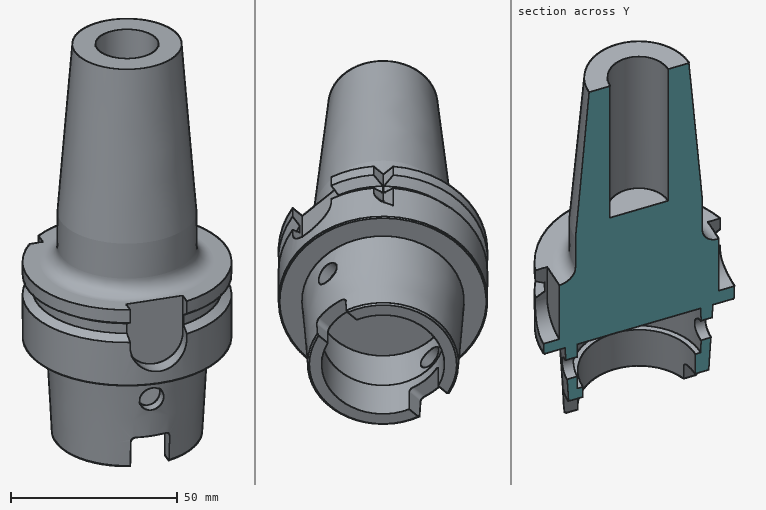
import cadquery as cq

total_height = 132.0
flange_bottom = 32.1
groove_lower_lip = 47.0
groove_root_bottom = 48.6
groove_root_top = 51.9
groove_upper_lip = 53.7
flange_top = 58.1
neck_top = 75.1

flange_diameter = 63.0
flange_radius = flange_diameter / 2
groove_radius = 28.5
neck_radius = 21.0
neck_fillet = 5.1
nose_radius = 16.5
shank_top_radius = 24.4
shank_end_radius = 22.7
shank_chamfer = 0.5
flange_chamfer = 0.4

bore_radius = 9.5
bore_depth = 52.8

mouth_radius = 18.5
mouth_depth = 14.5
chamber_radius = 20.3
chamber_top = flange_bottom

slot_floor_x = 26.3
left_slot_radius = 8.2
right_slot_radius = 9.0
slot_center_z = 45.4

notch_offset = 20.0
notch_radius = left_slot_radius

key_width = 12.3
key_corner_radius = 1.5
left_key_height = 6.5
right_key_height = 10.3
cross_hole_radius = 3.8
cross_hole_z = 23.2

clearance = 2 * flange_radius


def turned_body():
    """Taper shank, grooved flange, filleted neck and conical nose."""
    return (
        cq.Workplane("XZ")
        .lineTo(shank_end_radius - shank_chamfer, 0)
        .lineTo(shank_end_radius, shank_chamfer)
        .lineTo(shank_top_radius, flange_bottom)
        .lineTo(flange_radius - flange_chamfer, flange_bottom)
        .lineTo(flange_radius, flange_bottom + flange_chamfer)
        .lineTo(flange_radius, groove_lower_lip)
        .lineTo(groove_radius, groove_root_bottom)
        .lineTo(groove_radius, groove_root_top)
        .lineTo(flange_radius, groove_upper_lip)
        .lineTo(flange_radius, flange_top)
        .lineTo(neck_radius + neck_fillet, flange_top)
        .radiusArc((neck_radius, flange_top + neck_fillet), neck_fillet)
        .lineTo(neck_radius, neck_top)
        .lineTo(nose_radius, total_height)
        .lineTo(0, total_height)
        .close()
        .revolve(360, (0, 0), (0, 1))
    )


def round_bottom_slot(center_y, radius, start_x, length):
    """Slot along X with a half-round bottom, open above the flange."""
    return (
        cq.Workplane("YZ", origin=(start_x, 0, 0))
        .moveTo(center_y - radius, flange_top)
        .lineTo(center_y - radius, slot_center_z)
        .threePointArc((center_y, slot_center_z - radius), (center_y + radius, slot_center_z))
        .lineTo(center_y + radius, flange_top)
        .close()
        .extrude(length)
    )


def key_slot(height, direction):
    """Slot from the axis outward along X, with rounded upper corners."""
    return (
        cq.Workplane("YZ")
        .rect(key_width, 2 * height)
        .extrude(direction * clearance)
        .edges("|X")
        .fillet(key_corner_radius)
    )


bore = cq.Workplane("XY", origin=(0, 0, total_height)).circle(bore_radius).extrude(-bore_depth)
mouth = cq.Workplane("XY").circle(mouth_radius).extrude(mouth_depth)
chamber = (
    cq.Workplane("XY", origin=(0, 0, mouth_depth))
    .circle(chamber_radius)
    .extrude(chamber_top - mouth_depth)
)
cross_hole = (
    cq.Workplane("YZ")
    .center(0, cross_hole_z)
    .circle(cross_hole_radius)
    .extrude(clearance, both=True)
)

result = (
    turned_body()
    .cut(bore)
    .cut(mouth)
    .cut(chamber)
    .cut(round_bottom_slot(0, left_slot_radius, -slot_floor_x, -clearance))
    .cut(round_bottom_slot(0, right_slot_radius, slot_floor_x, clearance))
    .cut(round_bottom_slot(-notch_offset - notch_radius, notch_radius, -notch_offset, -clearance))
    .cut(key_slot(left_key_height, -1))
    .cut(key_slot(right_key_height, 1))
    .cut(cross_hole)
)